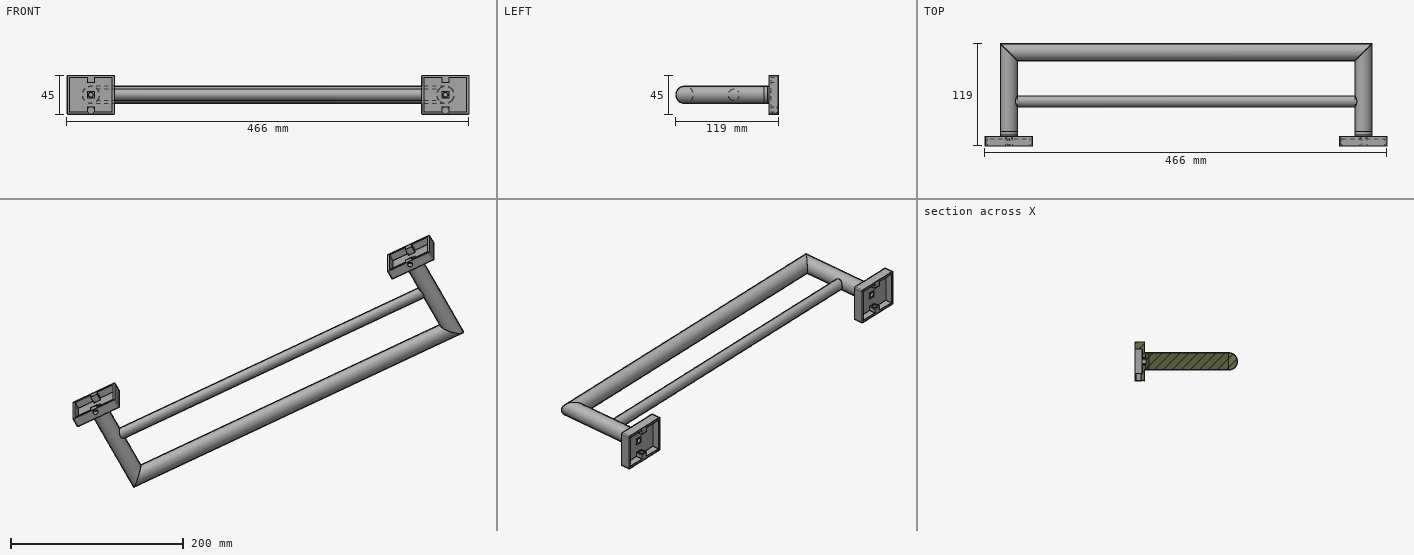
import cadquery as cq

LENGTH = 466.0
DEPTH = 119.0

PLATE_WIDTH = 55.0
PLATE_HEIGHT = 45.0
PLATE_THICKNESS = 11.0
PLATE_CORNER_RADIUS = 1.5
WALL = 3.0
FLOOR = 3.0
CAVITY_DEPTH = PLATE_THICKNESS - FLOOR
SPIGOT_LENGTH = 1.5

LUG_WIDTH = 8.5
LUG_HEIGHT = 5.5
SCREW_HOLE_DIAMETER = 5.5

TUBE_DIAMETER = 20.0
TUBE_RADIUS = TUBE_DIAMETER / 2
INNER_RAIL_DIAMETER = 13.0
INNER_RAIL_Y = 51.5
POST_X = (LENGTH - PLATE_WIDTH) / 2
OUTER_RAIL_Y = DEPTH - TUBE_RADIUS

MOUNT_DIAMETER = 19.5
MOUNT_LENGTH = 4.0
MOUNT_Y = PLATE_THICKNESS + SPIGOT_LENGTH
KEY_SIZE = 8.0
KEY_BORE_DIAMETER = 5.5

SIDES = (-1, 1)


def box(width, depth, height, x, y, z):
    """A box centred on x and z that starts at y."""
    return cq.Workplane("XY").box(width, depth, height, centered=(True, False, True)).translate((x, y, z))


def rod_along_y(diameter, length, x, y):
    """A round rod that starts at y and runs toward +Y."""
    plane = cq.Plane(origin=(x, y, 0), xDir=(1, 0, 0), normal=(0, 1, 0))
    return cq.Workplane(plane).circle(diameter / 2).extrude(length)


def rod_along_x(diameter, length, y):
    """A round rod centred on x = 0."""
    plane = cq.Plane(origin=(-length / 2, y, 0), xDir=(0, 0, 1), normal=(1, 0, 0))
    return cq.Workplane(plane).circle(diameter / 2).extrude(length)


def make_plate(x):
    """A hollow wall plate, open at the back, with two lugs, a screw hole, a key hole and a spigot."""
    plate = box(PLATE_WIDTH, PLATE_THICKNESS, PLATE_HEIGHT, x, 0, 0)
    plate = plate.edges("|Y").fillet(PLATE_CORNER_RADIUS)
    cavity_height = PLATE_HEIGHT - 2 * WALL
    plate = plate.cut(box(PLATE_WIDTH - 2 * WALL, CAVITY_DEPTH, cavity_height, x, 0, 0))
    lug_z = (cavity_height - LUG_HEIGHT) / 2
    for side in SIDES:
        plate = plate.union(box(LUG_WIDTH, CAVITY_DEPTH, LUG_HEIGHT, x, 0, side * lug_z))
    screw_hole = cq.Solid.makeCylinder(
        SCREW_HOLE_DIAMETER / 2, WALL + LUG_HEIGHT, cq.Vector(x, CAVITY_DEPTH / 2, -PLATE_HEIGHT / 2)
    )
    plate = plate.cut(cq.Workplane(screw_hole))
    plate = plate.union(rod_along_y(MOUNT_DIAMETER, SPIGOT_LENGTH, x, PLATE_THICKNESS))
    return plate.cut(box(KEY_SIZE, MOUNT_Y, KEY_SIZE, x, 0, 0))


def make_mount(x):
    """A disc set into the post, with a bored square key that reaches through the plate to its cavity."""
    disc = rod_along_y(MOUNT_DIAMETER, MOUNT_LENGTH, x, MOUNT_Y)
    key = box(KEY_SIZE, MOUNT_Y - CAVITY_DEPTH, KEY_SIZE, x, CAVITY_DEPTH, 0)
    bore = rod_along_y(KEY_BORE_DIAMETER, MOUNT_Y - CAVITY_DEPTH, x, CAVITY_DEPTH)
    return disc.union(key).cut(bore)


def mitre_region():
    """The space between the two 45 degree mitre planes, where the outer rail lies."""
    half_outer = POST_X + TUBE_RADIUS
    half_inner = POST_X - TUBE_RADIUS
    outline = [
        (-half_outer, DEPTH),
        (half_outer, DEPTH),
        (half_inner, DEPTH - TUBE_DIAMETER),
        (-half_inner, DEPTH - TUBE_DIAMETER),
    ]
    return cq.Workplane("XY").polyline(outline).close().extrude(TUBE_RADIUS, both=True)


def make_post(x):
    """A round post, mitred at its outer end and bored at the plate for the spigot and mount."""
    post = rod_along_y(TUBE_DIAMETER, DEPTH - PLATE_THICKNESS, x, PLATE_THICKNESS)
    post = post.cut(mitre_region())
    return post.cut(rod_along_y(MOUNT_DIAMETER, SPIGOT_LENGTH + MOUNT_LENGTH, x, PLATE_THICKNESS))


def make_outer_rail():
    """The large rail, mitred at both ends."""
    rail = rod_along_x(TUBE_DIAMETER, 2 * (POST_X + TUBE_RADIUS), OUTER_RAIL_Y)
    return rail.intersect(mitre_region())


def make_inner_rail():
    """The thin rail, with ends shaped to the round posts."""
    rail = rod_along_x(INNER_RAIL_DIAMETER, 2 * POST_X, INNER_RAIL_Y)
    for side in SIDES:
        rail = rail.cut(rod_along_y(TUBE_DIAMETER, DEPTH, side * POST_X, 0))
    return rail


plates = [make_plate(side * POST_X) for side in SIDES]
mounts = [make_mount(side * POST_X) for side in SIDES]
posts = [make_post(side * POST_X) for side in SIDES]
outer_rail = make_outer_rail()
inner_rail = make_inner_rail()

bodies = [*plates, *mounts, *posts, outer_rail, inner_rail]
result = cq.Compound.makeCompound([body.solids().val() for body in bodies])